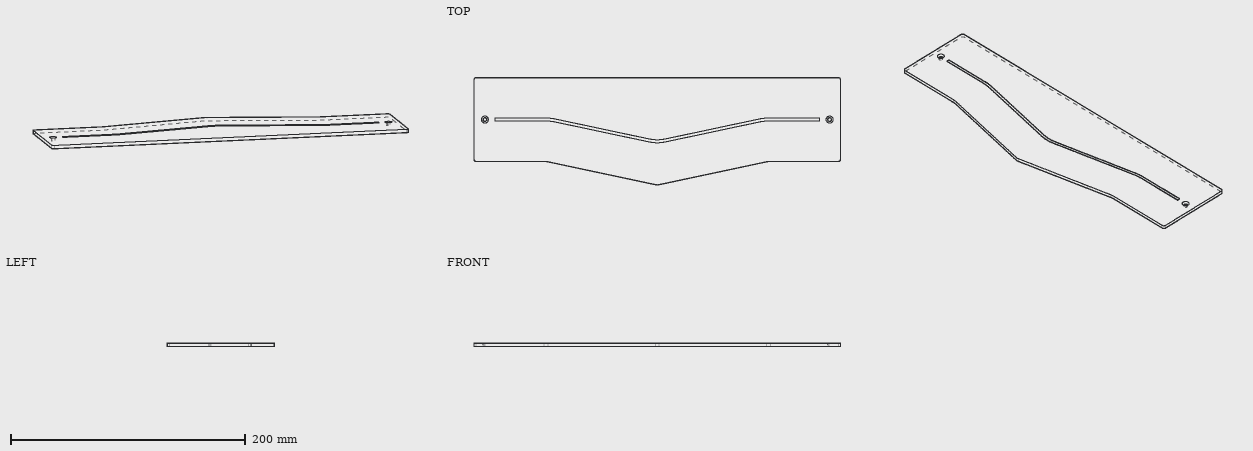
import cadquery as cq
import math

length = 313.0
straight_width = 71.5
thickness = 3.0
corner_radius = 2.0

slope_angle = math.radians(12)
edge_bend_x = 94.8
edge_bend_radius = 15.5
edge_tip_radius = 6.3
edge_drop = edge_bend_x * math.tan(slope_angle)

groove_half_length = 138.5
groove_width = 2.5
groove_depth = 0.3
groove_bend_x = 90.7
groove_bend_radius = 31.3

selection_margin = 3.0

hole_x = 147.0
hole_diameter = 3.0
countersink_diameter = 6.0
countersink_angle = 90

half_length = length / 2
half_width = straight_width / 2


def make_plate():
    """Plate with rounded corners and a shallow V-shaped front edge."""
    outline = [
        (-half_length, half_width),
        (-half_length, -half_width),
        (-edge_bend_x, -half_width),
        (0, -half_width - edge_drop),
        (edge_bend_x, -half_width),
        (half_length, -half_width),
        (half_length, half_width),
    ]
    plate = cq.Workplane("XY").polyline(outline).close().extrude(thickness)
    upright_edges = plate.edges("|Z")
    corners = upright_edges.filter(lambda edge: abs(edge.Center().x) > edge_bend_x + selection_margin)
    return corners.fillet(corner_radius)


def round_front_edge(plate):
    """Ease the two bends and the tip of the front edge."""
    def upright_edges_at(x, y):
        return plate.edges("|Z").edges(cq.selectors.NearestToPointSelector((x, y, thickness / 2)))

    for side in (-1, 1):
        plate = upright_edges_at(side * edge_bend_x, -half_width).fillet(edge_bend_radius)
    return upright_edges_at(0, -half_width - edge_drop).fillet(edge_tip_radius)


def make_groove():
    """Bent strip of constant width, with rounded bends."""
    drop = groove_bend_x * math.tan(slope_angle)
    half = groove_width / 2
    shift = half * math.tan(slope_angle / 2)
    tip_half = half / math.cos(slope_angle)
    upper = [
        (-groove_half_length, half),
        (-groove_bend_x + shift, half),
        (0, -drop + tip_half),
        (groove_bend_x - shift, half),
        (groove_half_length, half),
    ]
    lower = [
        (groove_half_length, -half),
        (groove_bend_x + shift, -half),
        (0, -drop - tip_half),
        (-groove_bend_x - shift, -half),
        (-groove_half_length, -half),
    ]
    floor = cq.Workplane("XY").workplane(offset=thickness - groove_depth)
    groove = floor.polyline(upper + lower).close().extrude(groove_depth)
    bend_limit = groove_half_length - selection_margin
    bends = groove.edges("|Z").filter(lambda edge: abs(edge.Center().x) < bend_limit)
    return bends.fillet(groove_bend_radius)


plate = round_front_edge(make_plate())
plate = plate.cut(make_groove())
result = (
    plate.faces(">Z")
    .workplane(origin=(0, 0, thickness))
    .pushPoints([(-hole_x, 0), (hole_x, 0)])
    .cskHole(hole_diameter, countersink_diameter, countersink_angle)
)